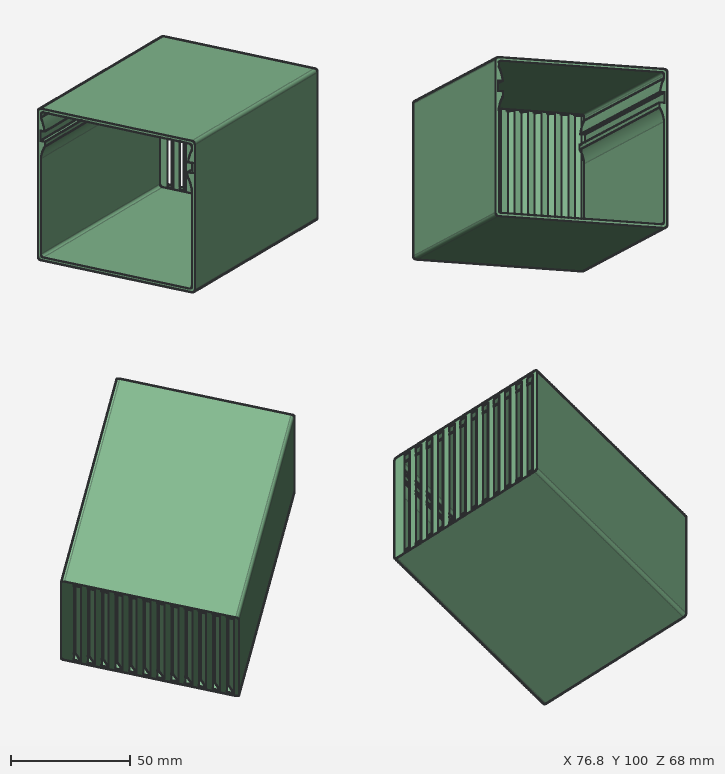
import cadquery as cq

width = 76.8
length = 100.0
height = 68.0
wall = 1.5
outer_radius = 1.5
inner_radius = 1.2

back_thickness = 3.0
slot_count = 12
slot_pitch = 6.0
slot_width = slot_pitch / 2
slot_height = 64.0
slot_shift = slot_width
slot_offset = -0.2

rail_depth = 3.5
rail_top = 30.0
rail_bottom = 11.5
groove_top = 24.0
groove_bottom = 19.5
groove_floor = 1.2
upper_depth = 3.3
upper_bend_depth = 2.8
upper_bend_z = 26.5
lip_bend_z = 17.4
flank_middle_depth = 2.1
flank_middle_z = 14.5

inner_width = width - 2 * wall
inner_height = height - 2 * wall
cavity_length = length - back_thickness


def rounded_block(x_size, z_size, y_size, radius):
    """Block starting at Y = 0 with its lengthwise edges rounded."""
    block = cq.Workplane("XY").box(x_size, y_size, z_size, centered=(True, False, True))
    return block.edges("|Y").fillet(radius)


def left_rail():
    """Bulge with a curved upper and lower flank on the -X wall."""
    embedded_depth = wall / 2
    return (
        cq.Workplane("XZ", origin=(-width / 2, 0, 0))
        .moveTo(embedded_depth, rail_top)
        .lineTo(wall, rail_top)
        .threePointArc((upper_bend_depth, upper_bend_z), (upper_depth, groove_top))
        .lineTo(upper_depth, groove_bottom)
        .lineTo(rail_depth, groove_bottom)
        .lineTo(rail_depth, lip_bend_z)
        .threePointArc((flank_middle_depth, flank_middle_z), (wall, rail_bottom))
        .lineTo(embedded_depth, rail_bottom)
        .close()
        .extrude(-cavity_length)
    )


def left_groove():
    """Rectangular groove along the rail, cut slightly into the wall."""
    return cq.Workplane("XY").box(
        rail_depth - groove_floor, cavity_length, groove_top - groove_bottom, centered=False
    ).translate((groove_floor - width / 2, 0, groove_bottom))


def back_slot(x_front):
    """Through slot slanting towards -X; x_front is its left edge on the inside."""
    return (
        cq.Workplane("XY", origin=(0, 0, -slot_height / 2))
        .polyline([
            (x_front, cavity_length),
            (x_front + slot_width, cavity_length),
            (x_front + slot_width - slot_shift, length),
            (x_front - slot_shift, length),
        ])
        .close()
        .extrude(slot_height)
    )


result = rounded_block(width, height, length, outer_radius)
result = result.cut(rounded_block(inner_width, inner_height, cavity_length, inner_radius))

rail = left_rail()
groove = left_groove()
result = result.union(rail).union(rail.mirror("YZ"))
result = result.cut(groove).cut(groove.mirror("YZ"))

first_slot_x = slot_offset + slot_width - slot_count * slot_pitch / 2
for index in range(slot_count):
    result = result.cut(back_slot(first_slot_x + index * slot_pitch))